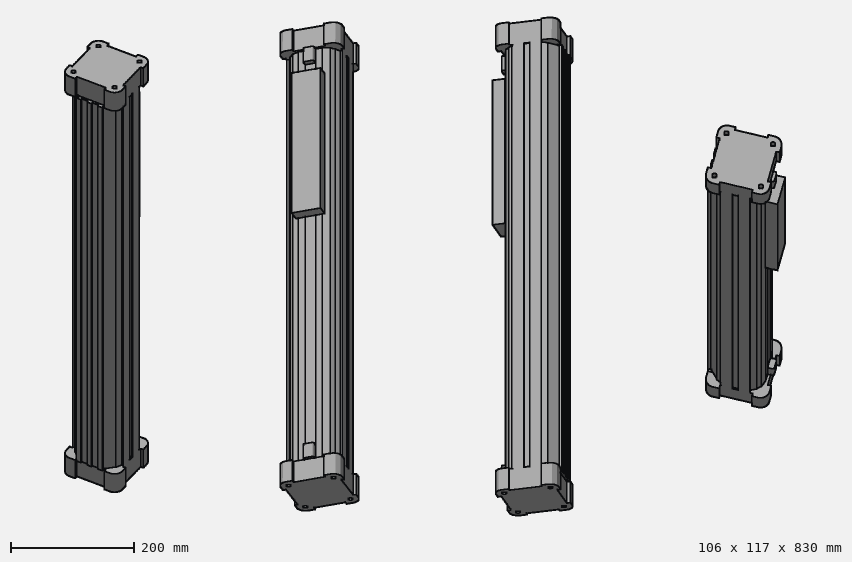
import cadquery as cq
import math

total_length = 830.0

cap_width = 106.0
cap_length = 38.0
cap_corner_radius = 15.0
recess_width = 55.0
side_recess_depth = 5.0
face_recess_depth = 6.0

hole_diameter = 7.5
hole_depth = 15.0
hole_spacing = 78.0
drill_point_angle = 120.0

profile_length = total_length - 2 * cap_length
profile_half_width = cap_width / 2 - side_recess_depth
profile_mid_y = -2.0
profile_front_y = -54.0
profile_back_y = 42.0
side_face_height = 50.0
side_slot_width = 10.0
side_slot_depth = 2.5
front_groove_width = 12.0
front_groove_depth = 2.5
front_groove_x = 10.0

lip_root = (44.0, 23.0)
inner_step = (39.0, 33.0)
outer_step = (36.5, 35.0)
front_notch = (23.0, 47.0)
back_chamfer_start = (32.0, 40.0)

front_foot_half_width = 25.0
back_half_width = 21.0

band_width = 18.0
band_thickness = 2.5
clamp_length = 26.0
clamp_top_y = cap_width / 2
clamp_fillet = 3.0

carriage_width = 50.0
carriage_height = 21.0
carriage_length = 257.0
carriage_top_gap = 86.0


def box(size_x, y_range, z_range, center_x=0.0):
    """Box centred on center_x in X, between the given limits in Y and Z."""
    y_min, y_max = y_range
    z_min, z_max = z_range
    corner = (center_x - size_x / 2, y_min, z_min)
    return cq.Workplane("XY").box(size_x, y_max - y_min, z_max - z_min, centered=False).translate(corner)


def make_top_cap():
    """Square cap with rounded corners, a recess in each side and four blind screw holes."""
    cap = cq.Workplane("XY").rect(cap_width, cap_width).extrude(cap_length)
    cap = cap.edges("|Z").fillet(cap_corner_radius)
    half = cap_width / 2
    side_cutter = cq.Workplane("XY").rect(2 * side_recess_depth, recess_width).extrude(cap_length)
    face_cutter = cq.Workplane("XY").rect(recess_width, 2 * face_recess_depth).extrude(cap_length)
    for offset in (-half, half):
        cap = cap.cut(side_cutter.translate((offset, 0, 0)))
        cap = cap.cut(face_cutter.translate((0, offset, 0)))
    drill = make_drill()
    for x in (-hole_spacing / 2, hole_spacing / 2):
        for y in (-hole_spacing / 2, hole_spacing / 2):
            cap = cap.cut(drill.translate((x, y, cap_length)))
    return cap.translate((0, 0, total_length - cap_length))


def make_drill():
    """Blind hole below the origin with a conical drill point."""
    radius = hole_diameter / 2
    point_length = radius / math.tan(math.radians(drill_point_angle / 2))
    return (
        cq.Workplane("XZ")
        .polyline([(0, 0), (radius, 0), (radius, -hole_depth), (0, -hole_depth - point_length)])
        .close()
        .revolve(360, (0, 0, 0), (0, 1, 0))
    )


def profile_outline():
    """Closed outline of the profile, symmetric about X = 0."""

    def front(point):
        return (point[0], profile_mid_y - point[1])

    def back(point):
        return (point[0], profile_mid_y + point[1])

    side_edge = (profile_half_width, side_face_height / 2)
    right_half = [
        (front_foot_half_width, profile_front_y),
        front(front_notch),
        front(outer_step),
        front(inner_step),
        front(lip_root),
        front(side_edge),
        back(side_edge),
        back(lip_root),
        back(inner_step),
        back(outer_step),
        back(back_chamfer_start),
        (back_half_width, profile_back_y),
    ]
    left_half = [(-x, y) for x, y in reversed(right_half)]
    return right_half + left_half


def make_profile():
    """Extruded profile with a slot in each side, two front grooves and a seat for the band."""
    z_range = (cap_length, total_length - cap_length)
    profile = cq.Workplane("XY").polyline(profile_outline()).close().extrude(profile_length)
    profile = profile.translate((0, 0, cap_length))
    slot_y = (profile_mid_y - side_slot_width / 2, profile_mid_y + side_slot_width / 2)
    groove_y = (profile_front_y, profile_front_y + front_groove_depth)
    for side in (-1, 1):
        slot_x = side * (profile_half_width - side_slot_depth / 2)
        profile = profile.cut(box(side_slot_depth, slot_y, z_range, slot_x))
        profile = profile.cut(box(front_groove_width, groove_y, z_range, side * front_groove_x))
    return profile.cut(box(band_width, (profile_back_y - band_thickness, profile_back_y), z_range))


def make_housing():
    """Profile and both end caps as one solid."""
    top_cap = make_top_cap()
    bottom_cap = top_cap.mirror("XY", (0, 0, total_length / 2))
    return make_profile().union(top_cap).union(bottom_cap).clean()


def make_band():
    """Strip lying flush in the back of the profile, with a raised clamp block against each cap."""
    z_min = cap_length
    z_max = total_length - cap_length
    bottom_y = profile_back_y - band_thickness
    band = box(band_width, (bottom_y, profile_back_y), (z_min, z_max))
    for z_range in ((z_min, z_min + clamp_length), (z_max - clamp_length, z_max)):
        clamp = box(band_width, (bottom_y, clamp_top_y), z_range)
        band = band.union(clamp.edges("|Z and >Y").fillet(clamp_fillet))
    return band.clean()


def make_carriage():
    """Block riding on the back of the profile."""
    z_max = total_length - carriage_top_gap
    y_range = (profile_back_y, profile_back_y + carriage_height)
    return box(carriage_width, y_range, (z_max - carriage_length, z_max))


housing = make_housing()
band = make_band()
carriage = make_carriage()

result = cq.Compound.makeCompound([housing.val(), band.val(), carriage.val()])